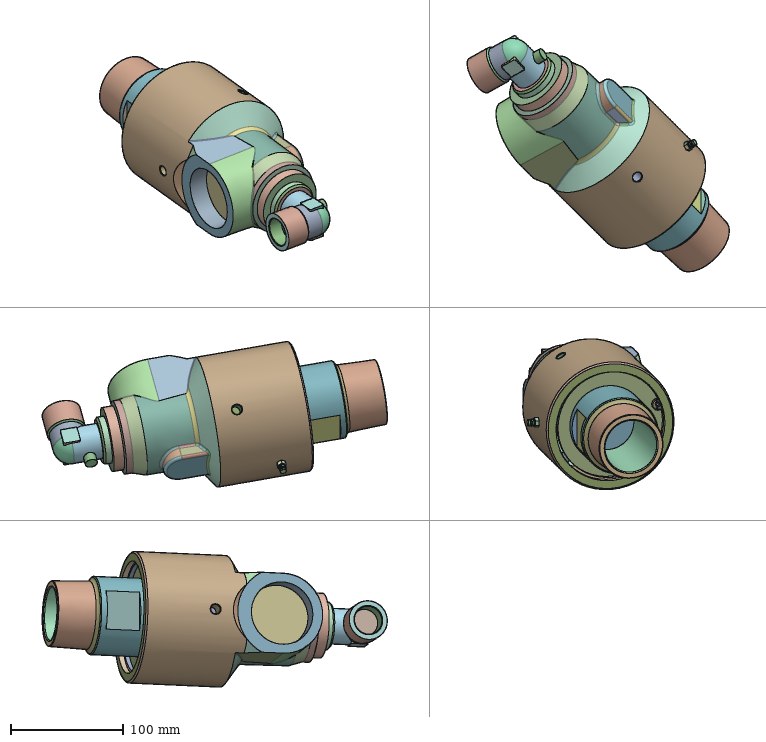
import cadquery as cq
import math


overall_length = 300.14
overall_width = 126.91

overlap = 1.0

spindle_tip_radius = 29.4
spindle_root_radius = 30.6
spindle_tip_chamfer = 0.6
spindle_root_x = 34.6
spindle_root_fillet = 4.5
collar_x = 37.6
collar_end_x = 43.8
collar_radius = 35.0
collar_chamfer = 1.0
flat_distance = 30.4
flat_end_x = 74.5
spindle_bore_radius = 47.6 / 2
spindle_bore_chamfer = 1.0

body_front_x = 73.5
body_shoulder_x = 158.5
body_radius = 117.5 / 2
body_chamfer = 1.5

recess_radius = 100.08 / 2
recess_depth = 9.0
recess_floor_x = body_front_x + recess_depth
ring_setback = 5.0
ring_front_x = body_front_x + ring_setback
ring_inner_radius = 48.5
ring_eccentricity = recess_radius - ring_inner_radius
ring_lug_radius = 5.0
ring_lug_y = -45.2
ring_lug_z = 15.4
ring_hole_diameter = 3.5

neck_x = 173.6
neck_front_radius = 37.9
neck_fillet = 5.0
neck_end_x = 220.5
neck_radius = 37.1
rear_cone_end_x = 232.5
rear_land_radius = 33.2
rear_land_end_x = 238.6
rear_land_chamfer = 1.0
flange_end_x = 249.0
flange_radius = 58.0 / 2
sleeve_end_x = 256.5
sleeve_radius = 21.3
sleeve_chamfer = 1.8

port_x = 199.6
port_boss_x = 200.6
port_boss_radius = 37.2
port_boss_draft = 1.1
port_boss_fillet = 1.0
port_boss_embed = 10.0
port_face_y = -53.4
port_bore_radius = 28.2
port_bore_depth = 18.0
flare_radius = 40.7
flare_slope = math.radians(50)
spotface_slope = math.radians(45)

pad_x = 191.0
pad_radius = 16.3
pad_top_y = 46.4
pad_start_x = 160.0
pad_fillet = 2.5
pad_root_fillet = 2.5

pad_seam_low_y = 33.0
pad_seam_high_y = 42.0
pad_seam_box = (
    (pad_start_x, pad_seam_low_y, -pad_radius - overlap),
    (neck_end_x, pad_seam_high_y, pad_radius + overlap),
)
port_boss_seam_outer_y = -32.0
port_boss_seam_inner_y = -2.0
port_boss_seam_box = (
    (body_shoulder_x, port_boss_seam_outer_y, -neck_front_radius),
    (flange_end_x, port_boss_seam_inner_y, neck_front_radius),
)

drain_x = 137.2
drain_diameter = 8.6
drain_mouth_diameter = 10.0
drain_depth = 16.0
drain_count = 3

nipple_x = 103.4
nipple_tip_y = overall_width - body_radius
nipple_hex_height = 3.5
nipple_hex_corner_diameter = 8.6
nipple_ring_radius = 3.3
nipple_neck_radius = 2.5
nipple_head_radius = 2.8
nipple_neck_length = 0.5
nipple_bevel = 0.8
nipple_ring_length = 1.4
nipple_head_length = 1.6

elbow_radius = 32.0 / 2
nut_radius = 35.0 / 2
elbow_x = overall_length - nut_radius
nut_start_y = -16.6
nut_end_y = -38.0
nut_chamfer = nut_radius - elbow_radius
nut_bore_radius = 12.6
nut_bore_chamfer = 0.6
nut_bore_depth = 13.0
nut_bore_floor_radius = 11.9
elbow_pad_side = 15.3
elbow_pad_corner = 1.5
elbow_pad_height = 16.2
plug_x = 268.5
plug_top_y = 22.9
plug_top_radius = 5.5
plug_base_radius = 6.2


def cylinder(x, y, z, direction, radius, length):
    """Cylinder starting at (x, y, z) and running along direction."""
    return cq.Workplane(obj=cq.Solid.makeCylinder(radius, length, cq.Vector(x, y, z), cq.Vector(*direction)))


def cone_along_y(x, start_y, end_y, start_radius, end_radius):
    """Cone on a Y axis through (x, 0), from start_y to end_y."""
    sign = 1 if end_y > start_y else -1
    return cq.Workplane(
        obj=cq.Solid.makeCone(
            start_radius, end_radius, abs(end_y - start_y), cq.Vector(x, start_y, 0), cq.Vector(0, sign, 0)
        )
    )


def revolve_about_x(outline):
    """Turn a closed (x, radius) outline about the X axis."""
    return outline.close().revolve(360, (0, 0, 0), (1, 0, 0))


def make_spindle():
    end_x = recess_floor_x + overlap
    spindle = revolve_about_x(
        cq.Workplane("XY")
        .lineTo(0, spindle_tip_radius - spindle_tip_chamfer)
        .lineTo(spindle_tip_chamfer, spindle_tip_radius)
        .lineTo(spindle_root_x, spindle_root_radius)
        .radiusArc((collar_x, collar_radius - collar_chamfer), -spindle_root_fillet)
        .lineTo(collar_x + collar_chamfer, collar_radius)
        .lineTo(end_x, collar_radius)
        .lineTo(end_x, 0)
    )
    flat_length = flat_end_x - collar_end_x
    for side in (1, -1):
        flat_cut = cq.Workplane("XY").box(flat_length, collar_radius, 2 * collar_radius).translate(
            ((collar_end_x + flat_end_x) / 2, side * (flat_distance + collar_radius / 2), 0)
        )
        spindle = spindle.cut(flat_cut)
    return spindle


def make_body():
    """Body, neck and stepped rear end down to the elbow."""
    shell = revolve_about_x(
        cq.Workplane("XY")
        .moveTo(body_front_x, 0)
        .lineTo(body_front_x, body_radius - body_chamfer)
        .lineTo(body_front_x + body_chamfer, body_radius)
        .lineTo(body_shoulder_x, body_radius)
        .lineTo(neck_x, neck_front_radius)
        .lineTo(neck_end_x, neck_radius)
        .lineTo(rear_cone_end_x, rear_land_radius)
        .lineTo(rear_land_end_x, rear_land_radius)
        .lineTo(rear_land_end_x + rear_land_chamfer, flange_radius)
        .lineTo(flange_end_x, flange_radius)
        .lineTo(flange_end_x, sleeve_radius)
        .lineTo(sleeve_end_x - sleeve_chamfer, sleeve_radius)
        .lineTo(sleeve_end_x, sleeve_radius - sleeve_chamfer)
        .lineTo(sleeve_end_x, 0)
    )
    root_edge = shell.edges(cq.selectors.BoxSelector(
        (neck_x - overlap, -body_radius, -body_radius),
        (neck_x + overlap, body_radius, body_radius),
        boundingbox=True,
    ))
    return root_edge.fillet(neck_fillet)


def make_retaining_ring():
    thickness = recess_floor_x - ring_front_x + overlap
    axis = (1, 0, 0)
    ring = cylinder(ring_front_x, 0, 0, axis, recess_radius + overlap, thickness)
    ring = ring.cut(cylinder(ring_front_x, -ring_eccentricity, 0, axis, ring_inner_radius, thickness))
    inside_recess = cylinder(ring_front_x, 0, 0, axis, recess_radius + overlap, thickness)
    for side in (1, -1):
        lug = cylinder(ring_front_x, ring_lug_y, side * ring_lug_z, axis, ring_lug_radius, thickness)
        lug_root = cq.Workplane("XY").box(
            thickness, 2 * ring_lug_radius, 2 * ring_lug_radius, centered=(False, True, True)
        ).translate((ring_front_x, ring_lug_y - ring_lug_radius, side * ring_lug_z))
        ring = ring.union(lug.union(lug_root).intersect(inside_recess))
    for side in (1, -1):
        ring = ring.cut(
            cylinder(ring_front_x, ring_lug_y, side * ring_lug_z, axis, ring_hole_diameter / 2, thickness)
        )
    return ring


def make_port_boss():
    """Boss with flat sides on +Z/-Z, joined to the body and trimmed by a flared rim."""
    front_x = body_shoulder_x - port_boss_embed
    block = (
        cq.Workplane("XZ")
        .moveTo(front_x, port_boss_radius)
        .lineTo(port_boss_x, port_boss_radius)
        .threePointArc((port_boss_x + port_boss_radius, 0), (port_boss_x, -port_boss_radius))
        .lineTo(front_x, -port_boss_radius)
        .close()
        .extrude(body_radius + overlap, taper=port_boss_draft)
    )
    flare_base_radius = flare_radius - port_face_y * math.tan(flare_slope)
    envelope = cone_along_y(port_x, 0, port_face_y, flare_base_radius, flare_radius)
    envelope = envelope.union(cylinder(front_x, 0, 0, (1, 0, 0), body_radius, port_x - front_x))
    return block.intersect(envelope)


def make_port_spotface():
    height = body_radius + port_face_y + overlap
    top_radius = flare_radius + height * math.tan(spotface_slope)
    return cone_along_y(port_x, port_face_y, port_face_y - height, flare_radius, top_radius)


def make_pad():
    pad = cq.Workplane("XZ").rect(pad_x - pad_start_x, 2 * pad_radius).extrude(-pad_top_y)
    pad = pad.translate(((pad_x + pad_start_x) / 2, 0, 0))
    pad = pad.union(cylinder(pad_x, 0, 0, (0, 1, 0), pad_radius, pad_top_y))
    return pad.faces(">Y").edges().fillet(pad_fillet)


def fillet_seam(solid, seam_box, radius):
    """Round the curved seam edges whose centres lie inside seam_box (two opposite corners)."""
    seam = solid.edges("%BSPLINE or %HYPERBOLA").edges(cq.selectors.BoxSelector(*seam_box))
    return seam.fillet(radius)


def make_drain_holes():
    cone_height = (drain_mouth_diameter - drain_diameter) / 2
    floor_y = -body_radius + drain_depth
    hole = cylinder(drain_x, floor_y, 0, (0, -1, 0), drain_diameter / 2, drain_depth + overlap)
    hole = hole.union(cone_along_y(
        drain_x, -body_radius + cone_height, -body_radius, drain_diameter / 2, drain_mouth_diameter / 2
    ))
    holes = hole
    for index in range(1, drain_count):
        holes = holes.union(hole.rotate((0, 0, 0), (1, 0, 0), index * 360 / drain_count))
    return holes


def make_nipple():
    hex_top_y = body_radius + nipple_hex_height
    base_y = body_radius - overlap
    hexagon = cq.Workplane("XZ").polygon(6, nipple_hex_corner_diameter).extrude(base_y - hex_top_y)
    hexagon = hexagon.rotate((0, 0, 0), (0, 1, 0), 90).translate((nipple_x, base_y, 0))
    ring_start_y = hex_top_y + nipple_neck_length + nipple_bevel
    ring_end_y = ring_start_y + nipple_ring_length
    head_start_y = nipple_tip_y - nipple_head_length
    turned = (
        cq.Workplane("XY")
        .moveTo(0, base_y)
        .lineTo(nipple_neck_radius, base_y)
        .lineTo(nipple_neck_radius, ring_start_y - nipple_bevel)
        .lineTo(nipple_ring_radius, ring_start_y)
        .lineTo(nipple_ring_radius, ring_end_y)
        .lineTo(nipple_neck_radius, ring_end_y + nipple_bevel)
        .lineTo(nipple_neck_radius, head_start_y - nipple_neck_length)
        .lineTo(nipple_head_radius, head_start_y)
        .lineTo(nipple_head_radius, nipple_tip_y)
        .lineTo(0, nipple_tip_y)
        .close()
        .revolve(360, (0, 0, 0), (0, 1, 0))
        .translate((nipple_x, 0, 0))
    )
    return hexagon.union(turned)


def make_elbow():
    inlet = cylinder(sleeve_end_x - overlap, 0, 0, (1, 0, 0), elbow_radius, elbow_x - sleeve_end_x + overlap)
    outlet = cylinder(elbow_x, 0, 0, (0, -1, 0), elbow_radius, -nut_start_y)
    corner = cq.Workplane("XY").sphere(elbow_radius).translate((elbow_x, 0, 0))
    pads = (
        cq.Workplane("XY")
        .box(elbow_pad_side, elbow_pad_side, 2 * elbow_pad_height)
        .edges("|Z")
        .fillet(elbow_pad_corner)
        .translate((elbow_x, 0, 0))
    )
    nut = cylinder(elbow_x, nut_start_y, 0, (0, -1, 0), nut_radius, nut_start_y - nut_end_y)
    nut_cone = cone_along_y(elbow_x, nut_start_y + nut_chamfer, nut_start_y, elbow_radius, nut_radius)
    plug = cone_along_y(plug_x, 0, plug_top_y, plug_base_radius, plug_top_radius)
    elbow = inlet.union(outlet).union(corner).union(pads).union(nut_cone).union(nut).union(plug)
    elbow = elbow.cut(cone_along_y(
        elbow_x, nut_end_y, nut_end_y + nut_bore_depth, nut_bore_radius, nut_bore_floor_radius
    ))
    return elbow.cut(cone_along_y(
        elbow_x, nut_end_y, nut_end_y + nut_bore_chamfer, nut_bore_radius + nut_bore_chamfer, nut_bore_radius
    ))


def make_spindle_bore():
    return revolve_about_x(
        cq.Workplane("XY")
        .lineTo(0, spindle_bore_radius + spindle_bore_chamfer)
        .lineTo(spindle_bore_chamfer, spindle_bore_radius)
        .lineTo(recess_floor_x, spindle_bore_radius)
        .lineTo(recess_floor_x, 0)
    )


housing = make_body().union(make_pad()).union(make_port_boss())
housing = fillet_seam(housing, pad_seam_box, pad_root_fillet)
housing = fillet_seam(housing, port_boss_seam_box, port_boss_fillet)
housing = housing.cut(make_port_spotface())
housing = housing.cut(cylinder(port_x, port_face_y, 0, (0, 1, 0), port_bore_radius, port_bore_depth))
housing = housing.cut(make_drain_holes())
housing = housing.cut(cylinder(body_front_x, 0, 0, (1, 0, 0), recess_radius, recess_depth))
housing = housing.union(make_retaining_ring())

result = housing.union(make_spindle()).union(make_nipple()).union(make_elbow()).cut(make_spindle_bore())